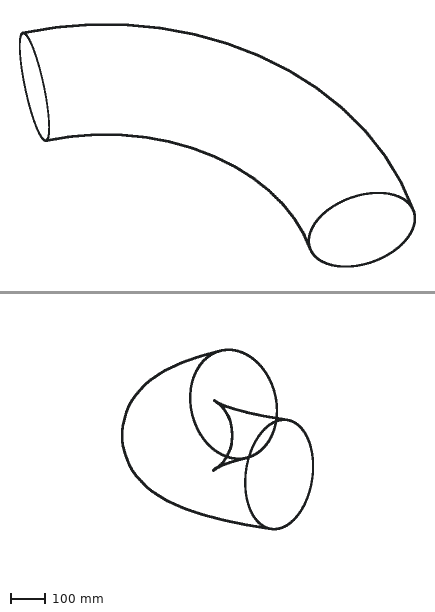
import cadquery as cq

reach = 937.0

outer_diameter = 324.0
wall = 3.0
outer_radius = outer_diameter / 2
inner_radius = outer_radius - wall

bend_radius = reach - outer_radius
bend_angle = 90.0

pipe_section = cq.Workplane("XZ").circle(outer_radius).circle(inner_radius)
result = pipe_section.revolve(bend_angle, (bend_radius, 9, 0), (bend_radius, 0, 0))